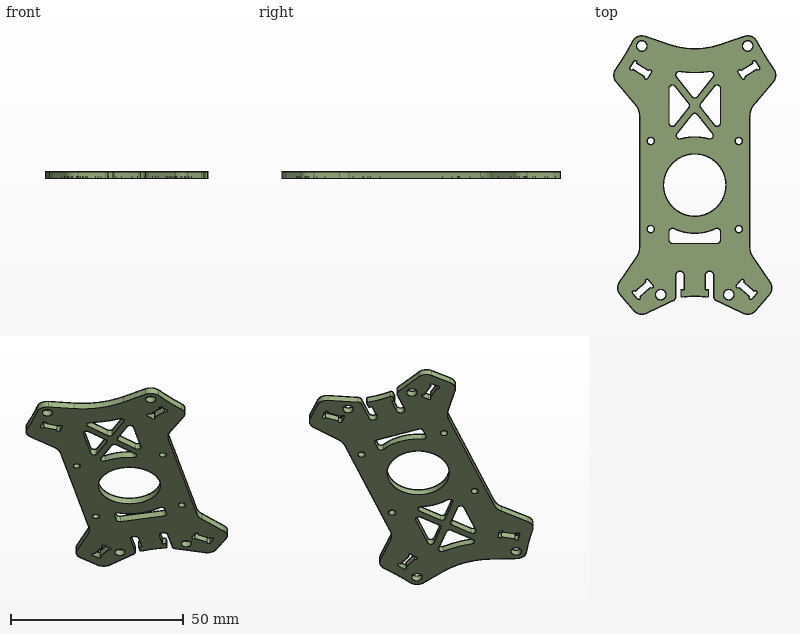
import cadquery as cq
import math

THICKNESS = 2.0
LENGTH = 80.6
WIDTH = 46.9
TOP_Y = LENGTH / 2

CORNER_RADIUS = 3.0
WAIST_HALF_WIDTH = 15.95
WAIST_RADIUS = 5.0
TOP_EDGE_RADIUS = 22.6
TOP_LOBE = (15.3, TOP_Y - CORNER_RADIUS)
UPPER_TIP = (WIDTH / 2 - CORNER_RADIUS, 28.85)
UPPER_WAIST = (WAIST_HALF_WIDTH - CORNER_RADIUS, 20.0)
LOWER_WAIST = (WAIST_HALF_WIDTH - CORNER_RADIUS, -23.3)
LOWER_TIP = (19.35, -32.6)
BOTTOM_LOBE = (15.3, CORNER_RADIUS - TOP_Y)
UPPER_SIDE_SAG = 0.2
TOP_VALLEY_Y = 32.1
BOTTOM_VALLEY_Y = -30.1

HUB_Y = -2.9
HUB_DIAMETER = 18.0
HUB_WEB = 5.0
BOLT_SPACING = 25.5
BOLT_DIAMETER = 2.0
ARM_HOLE_DIAMETER = 3.0
LOWER_HOLE = (9.8, -34.6)

WINDOW_RADIUS = 1.0
WINDOW_HALF_WIDTH = 7.4
STRUT_WIDTH = 2.0
STRUT_ANGLE = 51.7
CROSS_Y = 20.1
CROSS_TOP_Y = 29.6
CROSS_TOP_RADIUS = 29.8
WEDGE_HALF_WIDTH = 8.05
LOWER_WINDOW_BOTTOM_Y = -19.75

STRAP_LENGTH = 6.0
STRAP_WIDTH = 2.0
RELIEF_RADIUS = 0.5
UPPER_STRAP = (15.6, 30.4, 32.0)
LOWER_STRAP = (15.0, -33.05, -41.0)

NOTCH_HALF_WIDTH = 5.5
NOTCH_TOP_Y = -27.8
NOTCH_MOUTH_RADIUS = 1.2
TAB_STEM_HALF_WIDTH = 3.1
TAB_HEAD_HALF_WIDTH = 4.0
TAB_HEAD_TOP_Y = -33.1
TAB_BOTTOM_Y = -35.05
TAB_FOOT_RADIUS = 0.5
TAB_HOLLOW = 0.25


def mirrored(x, y):
    """The point and its mirror image across X = 0."""
    return [(x, y), (-x, y)]


def prism(points):
    return cq.Workplane("XY").polyline(points).close().extrude(THICKNESS)


def block(half_width, bottom_y, top_y):
    """Full-thickness block centred on X = 0."""
    height = top_y - bottom_y
    plane = cq.Workplane("XY").center(0, bottom_y + height / 2)
    return plane.rect(2 * half_width, height).extrude(THICKNESS)


def discs(points, diameter):
    return cq.Workplane("XY").pushPoints(points).circle(diameter / 2).extrude(THICKNESS)


def round_edge(body, x, y, radius):
    """Fillet the vertical edge nearest to (x, y)."""
    nearest = cq.selectors.NearestToPointSelector((x, y, THICKNESS / 2))
    return body.edges("|Z").edges(nearest).fillet(radius)


def plate_outline():
    upper_side = (UPPER_TIP[0] - TOP_LOBE[0], UPPER_TIP[1] - TOP_LOBE[1])
    side_length = math.hypot(*upper_side)
    sag_x = (TOP_LOBE[0] + UPPER_TIP[0]) / 2 + UPPER_SIDE_SAG * upper_side[1] / side_length
    sag_y = (TOP_LOBE[1] + UPPER_TIP[1]) / 2 - UPPER_SIDE_SAG * upper_side[0] / side_length
    right_sag, left_sag = mirrored(sag_x, sag_y)
    right_tip, left_tip = mirrored(*UPPER_TIP)
    right_lobe, left_lobe = mirrored(*TOP_LOBE)

    right_lower = [UPPER_WAIST, LOWER_WAIST, LOWER_TIP, BOTTOM_LOBE]
    left_lower = [(-x, y) for x, y in reversed(right_lower)]
    skeleton = cq.Workplane("XY").moveTo(0, TOP_VALLEY_Y).lineTo(*right_lobe)
    skeleton = skeleton.threePointArc(right_sag, right_tip)
    for x, y in right_lower + [(0, BOTTOM_VALLEY_Y)] + left_lower + [left_tip]:
        skeleton = skeleton.lineTo(x, y)
    skeleton = skeleton.threePointArc(left_sag, left_lobe).close()
    plate = skeleton.offset2D(CORNER_RADIUS, "arc").extrude(THICKNESS)

    for _, waist_y in (UPPER_WAIST, LOWER_WAIST):
        for x, y in mirrored(WAIST_HALF_WIDTH, waist_y):
            plate = round_edge(plate, x, y, WAIST_RADIUS)
    return round_edge(plate, 0, TOP_VALLEY_Y + CORNER_RADIUS, TOP_EDGE_RADIUS)


def cross_windows():
    """Four windows left open between two crossed struts."""
    slope = math.tan(math.radians(STRUT_ANGLE))
    tip_x = STRUT_WIDTH / 2 / math.sin(math.radians(STRUT_ANGLE))
    tip_y = STRUT_WIDTH / 2 / math.cos(math.radians(STRUT_ANGLE))
    side_rise = (WINDOW_HALF_WIDTH - tip_x) * slope
    wedge_rise = tip_y + WEDGE_HALF_WIDTH * slope

    windows = []
    for side in (1, -1):
        edge_x = side * WINDOW_HALF_WIDTH
        windows.append(
            prism([(side * tip_x, CROSS_Y), (edge_x, CROSS_Y + side_rise), (edge_x, CROSS_Y - side_rise)])
        )

    def wedge(direction):
        base_y = CROSS_Y + direction * wedge_rise
        return prism([(0, CROSS_Y + direction * tip_y)] + mirrored(WEDGE_HALF_WIDTH, base_y))

    top_disc = discs([(0, CROSS_TOP_Y + CROSS_TOP_RADIUS)], 2 * CROSS_TOP_RADIUS)
    windows.append(wedge(1).cut(top_disc))
    windows.append(wedge(-1).cut(hub_ring()))
    return [window.edges("|Z").fillet(WINDOW_RADIUS) for window in windows]


def hub_ring():
    """Disc of the hub opening together with the web of material around it."""
    return discs([(0, HUB_Y)], HUB_DIAMETER + 2 * HUB_WEB)


def lower_window():
    window = block(WINDOW_HALF_WIDTH, LOWER_WINDOW_BOTTOM_Y, HUB_Y).cut(hub_ring())
    return window.edges("|Z").fillet(WINDOW_RADIUS)


def strap_slot(x, y, angle):
    relief_x = STRAP_LENGTH / 2 - RELIEF_RADIUS
    reliefs = mirrored(relief_x, STRAP_WIDTH / 2) + mirrored(relief_x, -STRAP_WIDTH / 2)
    slot = cq.Workplane("XY").rect(STRAP_LENGTH, STRAP_WIDTH).extrude(THICKNESS)
    slot = slot.union(discs(reliefs, 2 * RELIEF_RADIUS))
    return slot.rotate((0, 0, 0), (0, 0, 1), angle).translate((x, y, 0))


def tab(top_y):
    """T-shaped tab whose lower edge is a shallow hollow between two rounded feet."""
    stem = block(TAB_STEM_HALF_WIDTH, TAB_HEAD_TOP_Y, top_y)
    foot_x = TAB_HEAD_HALF_WIDTH - TAB_FOOT_RADIUS
    foot_y = TAB_BOTTOM_Y - TAB_HOLLOW
    head = (
        cq.Workplane("XY")
        .moveTo(-TAB_HEAD_HALF_WIDTH, TAB_HEAD_TOP_Y)
        .lineTo(-TAB_HEAD_HALF_WIDTH, foot_y + TAB_FOOT_RADIUS)
        .radiusArc((-foot_x, foot_y), -TAB_FOOT_RADIUS)
        .threePointArc((0, TAB_BOTTOM_Y), (foot_x, foot_y))
        .radiusArc((TAB_HEAD_HALF_WIDTH, foot_y + TAB_FOOT_RADIUS), -TAB_FOOT_RADIUS)
        .lineTo(TAB_HEAD_HALF_WIDTH, TAB_HEAD_TOP_Y)
        .close()
        .extrude(THICKNESS)
    )
    return stem.union(head)


def cut_notch(plate):
    """Cut two round-ended slots that join below, leaving the tab between them."""
    slot_width = NOTCH_HALF_WIDTH - TAB_STEM_HALF_WIDTH
    slot_x = (NOTCH_HALF_WIDTH + TAB_STEM_HALF_WIDTH) / 2
    slot_end_y = NOTCH_TOP_Y - slot_width / 2
    plate = plate.cut(block(NOTCH_HALF_WIDTH, -TOP_Y, slot_end_y))
    plate = plate.cut(discs(mirrored(slot_x, slot_end_y), slot_width))
    plate = plate.union(tab(slot_end_y))
    for x, y in mirrored(NOTCH_HALF_WIDTH, -TOP_Y):
        plate = round_edge(plate, x, y, NOTCH_MOUTH_RADIUS)
    return plate


plate = cut_notch(plate_outline())

plate = plate.cut(discs([(0, HUB_Y)], HUB_DIAMETER))
half_spacing = BOLT_SPACING / 2
bolt_points = mirrored(half_spacing, HUB_Y + half_spacing) + mirrored(half_spacing, HUB_Y - half_spacing)
plate = plate.cut(discs(bolt_points, BOLT_DIAMETER))
plate = plate.cut(discs(mirrored(*TOP_LOBE) + mirrored(*LOWER_HOLE), ARM_HOLE_DIAMETER))

for window in cross_windows() + [lower_window()]:
    plate = plate.cut(window)

for slot_x, slot_y, slot_angle in (UPPER_STRAP, LOWER_STRAP):
    plate = plate.cut(strap_slot(slot_x, slot_y, slot_angle))
    plate = plate.cut(strap_slot(-slot_x, slot_y, -slot_angle))

result = plate